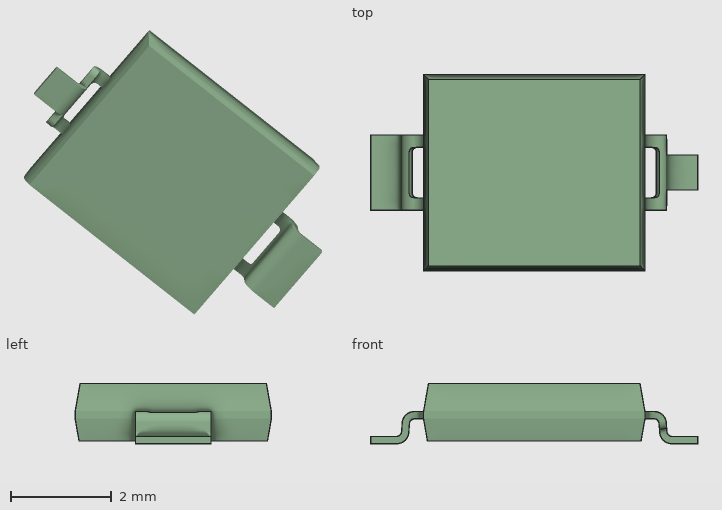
import cadquery as cq
import math

overall_length = 6.5
overall_height = 1.2

body_length = 4.4
body_width = 3.9
body_bottom = 0.05
draft_angle = 10.0

sheet = 0.15
lead_top = 0.645
lead_bottom = lead_top - sheet
lead_width = 1.5
narrow_foot_width = 0.7
bend_start = 2.38
inner_radius = 0.1
outer_radius = inner_radius + sheet
lean_angle = 10.0
embedded_length = 0.26

window_width = 1.0
window_end_angle = 25.0
window_corner = 0.1
window_reach = 0.65

shoulder_drop = 0.13
shoulder_corner = 0.15
cutter_length = 1.3
cutter_margin = 0.065


def direction(angle):
    """Unit radial direction in XZ, measured from +Z towards +X."""
    a = math.radians(angle)
    return math.sin(a), math.cos(a)


def point_on_arc(center, radius, angle):
    dx, dz = direction(angle)
    return center[0] + radius * dx, center[1] + radius * dz


leg_angle = 90.0 - lean_angle
upper_center = (bend_start, lead_bottom - inner_radius)
lower_center_z = sheet + inner_radius
radius_sum = outer_radius + inner_radius
normal_x, normal_z = direction(leg_angle)
leg_drop = upper_center[1] - lower_center_z - radius_sum * normal_z
leg_length = leg_drop / normal_x
lower_center = (
    bend_start + radius_sum * normal_x + leg_length * normal_z,
    lower_center_z,
)


def make_body():
    band = (
        cq.Workplane("XY").workplane(offset=lead_bottom)
        .rect(body_length, body_width).extrude(sheet)
    )
    upper = (
        cq.Workplane("XY").workplane(offset=lead_top)
        .rect(body_length, body_width)
        .extrude(overall_height - lead_top, taper=draft_angle)
    )
    lower = (
        cq.Workplane("XY").workplane(offset=lead_bottom)
        .rect(body_length, body_width)
        .extrude(body_bottom - lead_bottom, taper=draft_angle)
    )
    return band.union(upper).union(lower)


def tangent_plane(angle):
    """Plane through the upper bend axis, facing radially; local X runs down the lead."""
    dx, dz = direction(angle)
    return cq.Plane(
        origin=(upper_center[0], 0, upper_center[1]),
        xDir=(dz, 0, -dx),
        normal=(dx, 0, dz),
    )


def cut_window(lead):
    plane = tangent_plane(window_end_angle)
    cutter = (
        cq.Workplane(plane)
        .center(-window_reach / 2, 0)
        .rect(window_reach, window_width)
        .extrude(2 * outer_radius, both=True)
        .edges(cq.selectors.ParallelDirSelector(plane.zDir))
        .fillet(window_corner)
    )
    return lead.cut(cutter)


def make_lead():
    """Full-width lead on the +X side."""
    half_turn = leg_angle / 2
    root_x = body_length / 2 - embedded_length
    tip_x = overall_length / 2

    def upper(radius, angle):
        return point_on_arc(upper_center, radius, angle)

    def lower(radius, angle):
        return point_on_arc(lower_center, radius, angle + 180)

    profile = (
        cq.Workplane("XZ")
        .moveTo(root_x, lead_top)
        .lineTo(bend_start, lead_top)
        .threePointArc(upper(outer_radius, half_turn), upper(outer_radius, leg_angle))
        .lineTo(*lower(inner_radius, leg_angle))
        .threePointArc(lower(inner_radius, half_turn), lower(inner_radius, 0))
        .lineTo(tip_x, sheet)
        .lineTo(tip_x, 0)
        .lineTo(*lower(outer_radius, 0))
        .threePointArc(lower(outer_radius, half_turn), lower(outer_radius, leg_angle))
        .lineTo(*upper(inner_radius, leg_angle))
        .threePointArc(upper(inner_radius, half_turn), upper(inner_radius, 0))
        .lineTo(root_x, lead_bottom)
        .close()
    )
    return cut_window(profile.extrude(lead_width / 2, both=True))


def narrow_foot(lead):
    """Trim both sides below the shoulder and round the shoulder corners."""
    outer_y = lead_width / 2
    inner_y = narrow_foot_width / 2
    arc_start = shoulder_drop - shoulder_corner
    arc_inset = shoulder_corner * (1 - math.sqrt(0.5))
    cutter = (
        cq.Workplane(tangent_plane(leg_angle))
        .moveTo(arc_start, outer_y)
        .threePointArc(
            (shoulder_drop - arc_inset, outer_y - arc_inset),
            (shoulder_drop, outer_y - shoulder_corner),
        )
        .lineTo(shoulder_drop, inner_y)
        .lineTo(cutter_length, inner_y)
        .lineTo(cutter_length, outer_y + cutter_margin)
        .lineTo(arc_start, outer_y + cutter_margin)
        .close()
        .extrude(cutter_length)
    )
    return lead.cut(cutter).cut(cutter.mirror("XZ"))


wide_lead = make_lead().mirror("YZ")
narrow_lead = narrow_foot(make_lead())
result = make_body().union(wide_lead).union(narrow_lead)